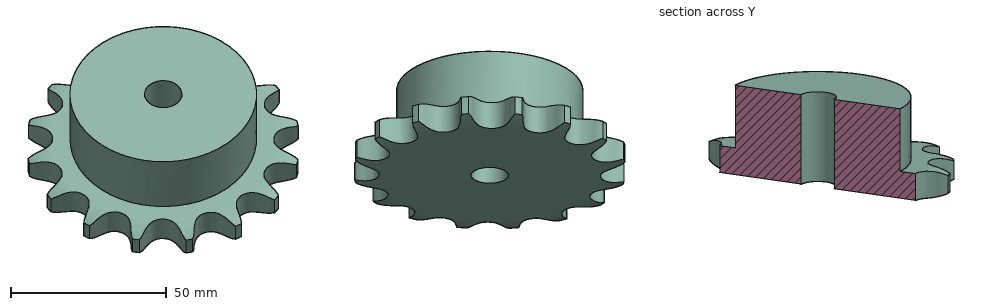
import cadquery as cq
import math

TEETH = 16
OVERALL_WIDTH = 86.7
CHAIN_PITCH = 15.9
ROLLER_DIAMETER = 10.15
SEAT_DIAMETER = 10.2
PLATE_THICKNESS = 9.1
HUB_DIAMETER = 60.0
TOTAL_HEIGHT = 30.0
BORE_DIAMETER = 12.0

RELIEF_INNER_RADIUS = 36.85
RELIEF_ARC_RADIUS = 17.35

TOOTH_STEP = 360 / TEETH
HALF_STEP = math.radians(TOOTH_STEP / 2)
SEAT_ANGLE = math.radians(35 + 60 / TEETH)
WORKING_ANGLE = math.radians(18 - 56 / TEETH)
STRAIGHT_ANGLE = math.radians(17 - 64 / TEETH)
WORKING_CENTER_OFFSET = 0.8 * ROLLER_DIAMETER
TOPPING_CENTER_OFFSET = 1.4 * ROLLER_DIAMETER


def polar(center, radius, angle):
    """Point at a radius and an angle (radians) from a center."""
    return (center[0] + radius * math.cos(angle), center[1] + radius * math.sin(angle))


def mirrored(point):
    """Point on the opposite flank of a gap centered on +Y."""
    return (-point[0], point[1])


pitch_radius = CHAIN_PITCH / (2 * math.sin(HALF_STEP))
roller_center = (0, pitch_radius)
seat_radius = SEAT_DIAMETER / 2
working_center = polar(roller_center, WORKING_CENTER_OFFSET, math.pi - SEAT_ANGLE)
working_radius = WORKING_CENTER_OFFSET + seat_radius
straight_length = (
    TOPPING_CENTER_OFFSET * math.sin(STRAIGHT_ANGLE)
    - WORKING_CENTER_OFFSET * math.sin(WORKING_ANGLE)
)
topping_center = polar(roller_center, TOPPING_CENTER_OFFSET, -HALF_STEP)
topping_radius = (
    TOPPING_CENTER_OFFSET * math.cos(STRAIGHT_ANGLE)
    + WORKING_CENTER_OFFSET * math.cos(WORKING_ANGLE)
    - working_radius
)

tip_y = OVERALL_WIDTH / 2
tip_x = topping_center[0] - math.sqrt(topping_radius**2 - (tip_y - topping_center[1]) ** 2)
outer_radius = math.hypot(tip_x, tip_y)


def tooth_gap():
    """Cutter for the gap centered on +Y: seat, working arcs, short straights and topping arcs."""
    root = polar(roller_center, seat_radius, -math.pi / 2)
    seat_end = polar(roller_center, seat_radius, -SEAT_ANGLE)
    working_mid = polar(working_center, working_radius, WORKING_ANGLE / 2 - SEAT_ANGLE)
    flank_angle = WORKING_ANGLE - SEAT_ANGLE
    working_end = polar(working_center, working_radius, flank_angle)
    straight_end = polar(working_end, straight_length, flank_angle + math.pi / 2)

    topping_start_angle = flank_angle + math.pi
    topping_end_angle = math.pi / 2
    topping_mid_angle = (topping_start_angle + topping_end_angle) / 2
    topping_mid = polar(topping_center, topping_radius, topping_mid_angle)
    topping_end = polar(topping_center, topping_radius, topping_end_angle)

    return (
        cq.Workplane("XY")
        .moveTo(*seat_end)
        .threePointArc(working_mid, working_end)
        .lineTo(*straight_end)
        .threePointArc(topping_mid, topping_end)
        .lineTo(*mirrored(topping_end))
        .threePointArc(mirrored(topping_mid), mirrored(straight_end))
        .lineTo(*mirrored(working_end))
        .threePointArc(mirrored(working_mid), mirrored(seat_end))
        .threePointArc(root, seat_end)
        .close()
        .extrude(PLATE_THICKNESS)
    )


def plate_blank():
    """Disc whose rim narrows along arcs tangent to the flat faces."""
    relief_width = outer_radius - RELIEF_INNER_RADIUS
    relief_angle = math.asin(relief_width / RELIEF_ARC_RADIUS)
    lower_center = (RELIEF_INNER_RADIUS, RELIEF_ARC_RADIUS)
    upper_center = (RELIEF_INNER_RADIUS, PLATE_THICKNESS - RELIEF_ARC_RADIUS)

    def lower(angle):
        return polar(lower_center, RELIEF_ARC_RADIUS, angle - math.pi / 2)

    def upper(angle):
        return polar(upper_center, RELIEF_ARC_RADIUS, math.pi / 2 - angle)

    return (
        cq.Workplane("XZ")
        .lineTo(*lower(0))
        .threePointArc(lower(relief_angle / 2), lower(relief_angle))
        .lineTo(*upper(relief_angle))
        .threePointArc(upper(relief_angle / 2), upper(0))
        .lineTo(0, PLATE_THICKNESS)
        .close()
        .revolve(360, (0, 0, 0), (0, 1, 0))
    )


def toothed_plate():
    """Plate with a gap cut between every two teeth."""
    plate = plate_blank()
    gap = tooth_gap()
    for index in range(TEETH):
        plate = plate.cut(gap.rotate((0, 0, 0), (0, 0, 1), index * TOOTH_STEP))
    return plate


hub = cq.Workplane("XY").circle(HUB_DIAMETER / 2).extrude(TOTAL_HEIGHT)
bore = cq.Workplane("XY").circle(BORE_DIAMETER / 2).extrude(TOTAL_HEIGHT)

result = toothed_plate().union(hub).cut(bore)